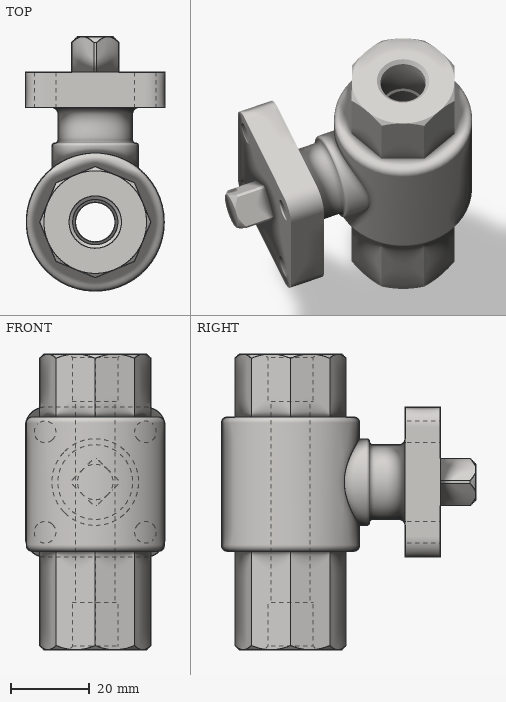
import cadquery as cq
import math

total_height = 75.0
body_diameter = 35.0
body_bottom = 25.0
body_top = 59.0
body_round = 1.5
end_across_flats = 26.0
end_corner_diameter = end_across_flats / math.cos(math.pi / 8)
end_face_diameter = end_across_flats
end_bevel_angle = math.radians(45)

passage_diameter = 10.0
socket_diameter = 11.5
socket_depth = 12.0
socket_chamfer = 0.9

branch_height = 42.5
collar_diameter = 22.0
collar_end = 20.0
collar_round = 0.75
neck_diameter = 19.0
neck_collar_fillet = (collar_diameter - neck_diameter) / 2 - collar_round
neck_plate_fillet = 1.5
plate_width = 35.5
plate_height = 38.0
plate_front = 29.0
plate_thickness = 9.0
plate_back = plate_front + plate_thickness
plate_corner_radius = 5.0
bolt_circle_diameter = 36.0
bolt_hole_diameter = 5.5
stem_length = 9.0
stem_across_flats = 9.0
stem_corner_diameter = 12.0
stem_chamfer = 1.5


def branch_plane(y):
    """Workplane facing +Y, centred on the branch axis at distance y."""
    return cq.Workplane(cq.Plane(origin=(0, y, branch_height), xDir=(1, 0, 0), normal=(0, 1, 0)))


def make_octagonal_ends():
    """Full-height octagonal bar whose end corners are bevelled by a cone."""
    bar = cq.Workplane("XY").polygon(8, end_corner_diameter).extrude(total_height)
    face_radius = end_face_diameter / 2
    outer_radius = body_diameter / 2
    bevel_height = (outer_radius - face_radius) * math.tan(end_bevel_angle)
    envelope = (
        cq.Workplane("XZ")
        .moveTo(0, 0)
        .lineTo(face_radius, 0)
        .lineTo(outer_radius, bevel_height)
        .lineTo(outer_radius, total_height - bevel_height)
        .lineTo(face_radius, total_height)
        .lineTo(0, total_height)
        .close()
        .revolve(360, (0, 0, 0), (0, 1, 0))
    )
    return bar.intersect(envelope)


def make_barrel():
    """Central cylinder with rounded rims."""
    barrel = cq.Workplane("XY").workplane(offset=body_bottom).circle(body_diameter / 2)
    return barrel.extrude(body_top - body_bottom).edges().fillet(body_round)


def make_neck():
    """Collar and neck turned about the branch axis, with concave fillets on the neck."""
    collar_radius = collar_diameter / 2
    neck_radius = neck_diameter / 2
    diagonal = math.sqrt(0.5)
    collar_round_middle = (
        collar_radius - collar_round * (1 - diagonal),
        collar_end - collar_round * (1 - diagonal),
    )
    collar_fillet_middle = (
        neck_radius + neck_collar_fillet * (1 - diagonal),
        collar_end + neck_collar_fillet * (1 - diagonal),
    )
    plate_fillet_middle = (
        neck_radius + neck_plate_fillet * (1 - diagonal),
        plate_front - neck_plate_fillet * (1 - diagonal),
    )
    profile = (
        cq.Workplane("XY", origin=(0, 0, branch_height))
        .moveTo(0, 0)
        .lineTo(collar_radius, 0)
        .lineTo(collar_radius, collar_end - collar_round)
        .threePointArc(collar_round_middle, (neck_radius + neck_collar_fillet, collar_end))
        .threePointArc(collar_fillet_middle, (neck_radius, collar_end + neck_collar_fillet))
        .lineTo(neck_radius, plate_front - neck_plate_fillet)
        .threePointArc(plate_fillet_middle, (neck_radius + neck_plate_fillet, plate_front))
        .lineTo(0, plate_front)
        .close()
    )
    return profile.revolve(360, (0, 0, 0), (0, 1, 0))


def make_plate():
    """Mounting plate with rounded corners and four bolt holes on a square pattern."""
    plate = branch_plane(plate_front).rect(plate_width, plate_height).extrude(plate_thickness)
    plate = plate.edges("|Y").fillet(plate_corner_radius)
    bolt_holes = (
        branch_plane(plate_front)
        .polarArray(bolt_circle_diameter / 2, 45, 360, 4)
        .circle(bolt_hole_diameter / 2)
        .extrude(plate_thickness)
    )
    return plate.cut(bolt_holes)


def make_stem():
    """Square drive standing on its corner, turned down at the corners and chamfered at the tip."""
    square = branch_plane(plate_back).polygon(4, stem_across_flats * math.sqrt(2)).extrude(stem_length)
    envelope = branch_plane(plate_back).circle(stem_corner_diameter / 2).extrude(stem_length)
    envelope = envelope.faces(">Y").chamfer(stem_chamfer)
    return square.intersect(envelope)


def make_bore():
    """Through passage with a chamfered socket at both ends."""
    mouth_radius = socket_diameter / 2 + socket_chamfer
    bore = cq.Workplane("XY").circle(passage_diameter / 2).extrude(total_height)
    for end_height, inward in ((0, 1), (total_height, -1)):
        socket = (
            cq.Workplane("XZ")
            .moveTo(0, end_height)
            .lineTo(mouth_radius, end_height)
            .lineTo(socket_diameter / 2, end_height + inward * socket_chamfer)
            .lineTo(socket_diameter / 2, end_height + inward * socket_depth)
            .lineTo(0, end_height + inward * socket_depth)
            .close()
            .revolve(360, (0, 0, 0), (0, 1, 0))
        )
        bore = bore.union(socket)
    return bore


body = make_barrel().union(make_octagonal_ends())
branch = make_neck().union(make_plate()).union(make_stem())
result = body.union(branch).cut(make_bore())